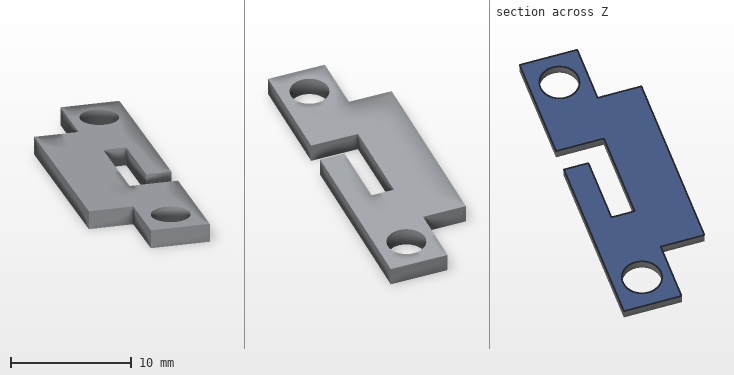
import cadquery as cq

length = 27.3
width = 8.9
thickness = 1.6

block_left = 5.45
block_length = 16.52
ear_width = 5.08

hole_diameter = 3.3
hole_spacing = 21.57
left_hole_x = 2.92
hole_drop = 2.57

slot_left = 9.72
slot_right = 17.72
mouth_width = 2.0
slot_depth = 4.18
finger_width = 2.18


def corner_box(x, y, size_x, size_y):
    """Full-thickness box placed by its lower left corner."""
    return cq.Workplane("XY").box(size_x, size_y, thickness, centered=False).translate((x, y, 0))


strip = corner_box(0, width - ear_width, length, ear_width)
block = corner_box(block_left, 0, block_length, width)
plate = strip.union(block)

slot_floor = width - slot_depth
leg = corner_box(slot_left, slot_floor, slot_right - slot_left, slot_depth - finger_width)
mouth = corner_box(slot_right - mouth_width, slot_floor, mouth_width, slot_depth)

hole_y = width - hole_drop
holes = (
    cq.Workplane("XY")
    .pushPoints([(left_hole_x, hole_y), (left_hole_x + hole_spacing, hole_y)])
    .circle(hole_diameter / 2)
    .extrude(thickness)
)

result = plate.cut(leg).cut(mouth).cut(holes)